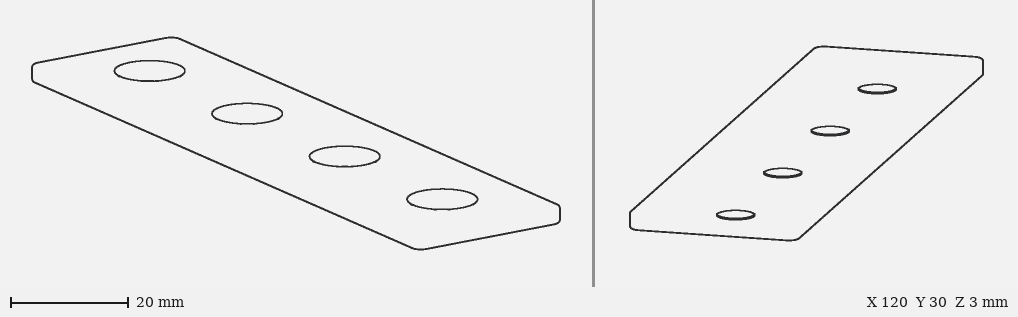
import cadquery as cq

length = 120.0
width = length / 4
thickness = 3.0
edge_fillet = 0.5
corner_radius = 4 * edge_fillet

hole_count = 4
hole_pitch = length / hole_count
hole_diameter = 6.5
countersink_diameter = 12.0
countersink_angle = 90.0


def make_plate():
    """Plate centred on the origin, with rounded corners and rims."""
    plate = cq.Workplane("XY").box(length, width, thickness)
    plate = plate.edges("|Z").fillet(corner_radius)
    return plate.faces("<Z or >Z").edges().fillet(edge_fillet)


def cut_screw_holes(plate):
    """Evenly spaced through holes, countersunk from the top face."""
    return (
        plate.faces(">Z")
        .workplane(origin=(0, 0, 0))
        .rarray(hole_pitch, 1.2, hole_count, 1)
        .cskHole(hole_diameter, countersink_diameter, countersink_angle)
    )


result = cut_screw_holes(make_plate())